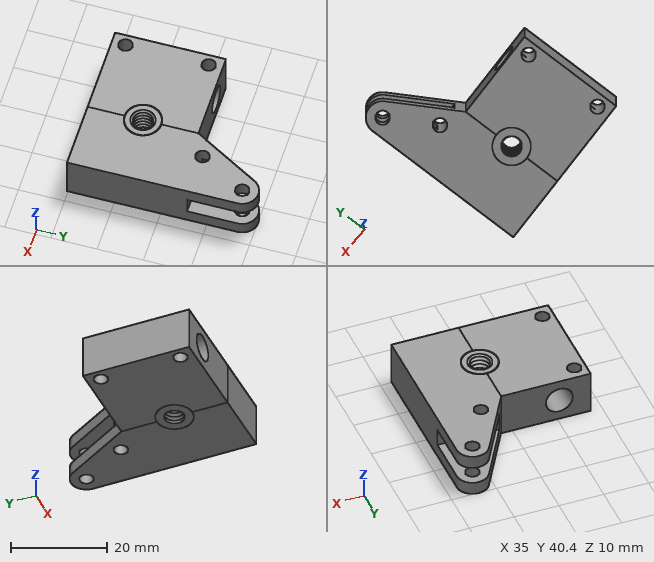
import cadquery as cq
import math

thickness = 10.0
block_length = 20.0
block_width = 24.0

pin_hole_diameter = 3.0
cross_bore_diameter = 5.98
cross_bore_x = 7.0

block_hole_x = 2.5
block_hole_edge = 3.0

clevis_width = 15.0
arm_tip_radius = 3.5
arm_hole_spacing = 12.0
arm_angle = 60.0
inner_arm_hole = (25.5, 26.5)
slot_height = 4.0
slot_start_y = 26.0

insert_diameter = 8.0
rim_chamfer_width = 0.12
rim_chamfer_height = 0.04
thread_crest_diameter = 4.25
thread_pitch = 1.0
thread_flank_slope = math.tan(math.radians(30.0))
countersink_diameter = 5.25
insert_center = (block_length, block_width / 2)

clevis_right_x = block_length + clevis_width
block_hole_points = [
    (block_hole_x, block_hole_edge),
    (block_hole_x, block_width - block_hole_edge),
]
tip_center = (
    clevis_right_x - arm_tip_radius,
    inner_arm_hole[1] + arm_hole_spacing * math.sin(math.radians(arm_angle)),
)


def vertical_cylinder(center, diameter):
    """Cylinder through the full thickness, standing on z = 0."""
    return cq.Workplane("XY").center(*center).circle(diameter / 2).extrude(thickness)


def make_block():
    """Rectangular block with two pin holes and a bore along Y."""
    block = cq.Workplane("XY").box(block_length, block_width, thickness, centered=False)
    for point in block_hole_points:
        block = block.cut(vertical_cylinder(point, pin_hole_diameter))
    cross_bore = (
        cq.Workplane("XZ")
        .center(cross_bore_x, thickness / 2)
        .circle(cross_bore_diameter / 2)
        .extrude(-block_width)
    )
    return block.cut(cross_bore).cut(vertical_cylinder(insert_center, insert_diameter))


def make_clevis():
    """Plate with a tapered round-ended arm, slotted at mid thickness into two lugs."""
    reach_x = tip_center[0] - block_length
    reach_y = tip_center[1] - block_width
    edge_angle = math.atan2(reach_y, reach_x) + math.asin(arm_tip_radius / math.hypot(reach_x, reach_y))
    normal_angle = edge_angle + math.pi / 2
    tangent_point = (
        tip_center[0] + arm_tip_radius * math.cos(normal_angle),
        tip_center[1] + arm_tip_radius * math.sin(normal_angle),
    )
    tip_top = (tip_center[0], tip_center[1] + arm_tip_radius)
    clevis = (
        cq.Workplane("XY")
        .moveTo(block_length, 0)
        .lineTo(clevis_right_x, 0)
        .lineTo(clevis_right_x, tip_center[1])
        .threePointArc(tip_top, tangent_point)
        .lineTo(block_length, block_width)
        .close()
        .extrude(thickness)
    )
    slot_bottom_z = (thickness - slot_height) / 2
    slot_length = tip_top[1] - slot_start_y
    slot = (
        cq.Workplane("XY")
        .box(clevis_width, slot_length, slot_height, centered=False)
        .translate((block_length, slot_start_y, slot_bottom_z))
    )
    clevis = clevis.cut(slot)
    for point in (inner_arm_hole, tip_center):
        clevis = clevis.cut(vertical_cylinder(point, pin_hole_diameter))
    return clevis.cut(vertical_cylinder(insert_center, insert_diameter))


def make_insert():
    """Round insert with a bevelled top rim and a countersunk bore cut by sharp V thread rings."""
    outer_radius = insert_diameter / 2
    crest_radius = thread_crest_diameter / 2
    root_radius = crest_radius + thread_pitch / 2 / thread_flank_slope
    countersink_radius = countersink_diameter / 2
    top_crest_z = thickness - (countersink_radius - crest_radius) * thread_flank_slope
    ring_count = math.floor(top_crest_z / thread_pitch)

    section = (
        cq.Workplane("XZ")
        .moveTo(outer_radius, thickness - rim_chamfer_height)
        .lineTo(outer_radius - rim_chamfer_width, thickness)
        .lineTo(countersink_radius, thickness)
        .lineTo(crest_radius, top_crest_z)
    )
    for ring in range(ring_count):
        ring_top_z = top_crest_z - ring * thread_pitch
        section = section.lineTo(root_radius, ring_top_z - thread_pitch / 2)
        section = section.lineTo(crest_radius, ring_top_z - thread_pitch)
    section = section.lineTo(crest_radius, 0).lineTo(outer_radius, 0).close()
    return section.revolve(360, (0, 0), (0, 1)).translate((*insert_center, 0))


block = make_block()
clevis = make_clevis()
insert = make_insert()

result = cq.Compound.makeCompound([block.val(), clevis.val(), insert.val()])